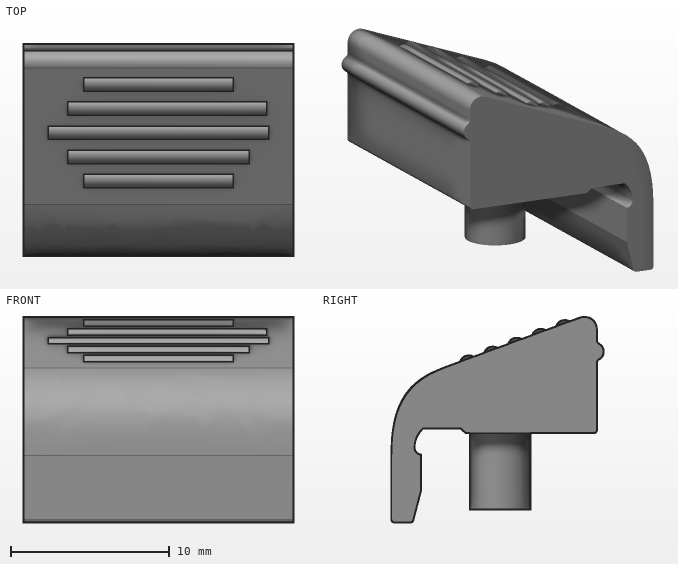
import cadquery as cq
import math

width = 17.0
depth = 12.95
height = 12.95

slope = math.radians(20.2)
crown_radius = 0.8
nose_start_y = 3.3
nose_end_z = 4.23
nose_fullness = 0.72

bead_z = 10.76
bead_half_height = 0.55
bead_depth = 0.42
bead_root_radius = 0.24

base_z = 5.63
recess_z = 5.92
recess_back_y = 4.37
recess_slant = 0.32
recess_front_y = 2.0
groove_y = 1.48
groove_z = 4.81
groove_upper_mid = (1.62, 5.37)
groove_lower_mid = (1.56, 4.45)
lip_y = 1.89
lip_top_z = 4.28
lip_taper_z = 2.04
lip_tip_y = 1.36
corner_radius = 0.2

pin_radius = 1.92
pin_y = 6.85
pin_bottom_z = 0.82

rib_front_y = 4.76
rib_pitch = 1.51
rib_width = 0.9
rib_rise = 0.22
rib_ends = [
    (-4.71, 4.71),
    (-5.71, 5.71),
    (-6.95, 6.95),
    (-5.71, 6.8),
    (-4.71, 4.71),
]

crown_y = depth - crown_radius
crown_z = height - crown_radius
slope_top_y = crown_y - crown_radius * math.sin(slope)
slope_top_z = crown_z + crown_radius * math.cos(slope)


def slope_z(y):
    """Height of the sloped face at depth y."""
    return slope_top_z - (slope_top_y - y) * math.tan(slope)


def make_body():
    """Side outline in Y and Z, extruded across the width."""
    crown_mid_angle = math.pi / 4 + slope / 2
    crown_mid = (
        crown_y + crown_radius * math.cos(crown_mid_angle),
        crown_z + crown_radius * math.sin(crown_mid_angle),
    )
    nose_corner_z = slope_z(0)
    nose_upper_y = nose_start_y * (1 - nose_fullness)
    nose_lower_z = nose_end_z + nose_fullness * (nose_corner_z - nose_end_z)
    outline = (
        cq.Workplane("YZ", origin=(-width / 2, 0, 0))
        .moveTo(0, 0)
        .lineTo(lip_tip_y, 0)
        .lineTo(lip_y, lip_taper_z)
        .lineTo(lip_y, lip_top_z)
        .threePointArc(groove_lower_mid, (groove_y, groove_z))
        .threePointArc(groove_upper_mid, (recess_front_y, recess_z))
        .lineTo(recess_back_y, recess_z)
        .lineTo(recess_back_y + recess_slant, base_z)
        .lineTo(depth, base_z)
        .lineTo(depth, bead_z - bead_half_height)
        .threePointArc((depth + bead_depth, bead_z), (depth, bead_z + bead_half_height))
        .lineTo(depth, crown_z)
        .threePointArc(crown_mid, (slope_top_y, slope_top_z))
        .lineTo(nose_start_y, slope_z(nose_start_y))
        .bezier(
            [(nose_upper_y, slope_z(nose_upper_y)), (0, nose_lower_z), (0, nose_end_z)],
            includeCurrent=True,
        )
        .close()
    )
    body = outline.extrude(width)
    lip_tip_edges = body.faces("<Z").edges("|X")
    body = lip_tip_edges.fillet(corner_radius)
    for side in (-1, 1):
        root_point = (0, depth, bead_z + side * bead_half_height)
        root_edge = cq.selectors.NearestToPointSelector(root_point)
        body = body.edges(root_edge).fillet(bead_root_radius)
    base_back_edge = cq.selectors.NearestToPointSelector((0, depth, base_z))
    return body.edges(base_back_edge).fillet(corner_radius)


def make_pin():
    """Pin reaching from below the base up into the body."""
    top_z = recess_z + corner_radius
    return (
        cq.Workplane("XY", origin=(0, pin_y, pin_bottom_z))
        .circle(pin_radius)
        .extrude(top_z - pin_bottom_z)
    )


def make_rib(y, left, right):
    """Rounded rib lying on the slope, its round centre sunk below the face."""
    radius = ((rib_width / 2) ** 2 + rib_rise**2) / (2 * rib_rise)
    sink = radius - rib_rise
    return (
        cq.Workplane("YZ", origin=(left, 0, 0))
        .center(y + sink * math.sin(slope), slope_z(y) - sink * math.cos(slope))
        .circle(radius)
        .extrude(right - left)
    )


result = make_body().union(make_pin())
for index, (left_end, right_end) in enumerate(rib_ends):
    result = result.union(make_rib(rib_front_y + index * rib_pitch, left_end, right_end))